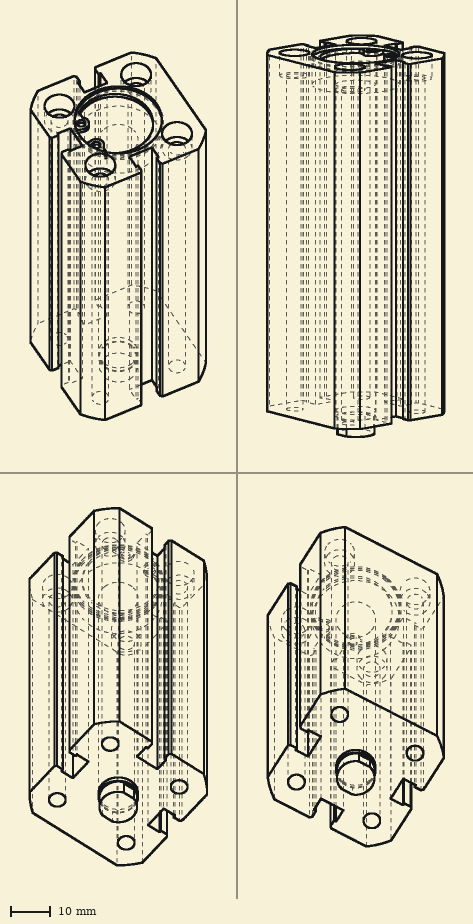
import cadquery as cq
import math

total_length = 98.0
rod_reach = 5.9
housing_length = total_length - rod_reach
housing_width = 36.0
corner_diameter = 44.9

slot_mouth_width = 5.3
slot_mouth_depth = 2.4
slot_channel_width = 6.5
slot_depth = 6.0
slot_edge_chamfer = 0.5

mount_pitch = 22.0
mount_hole_diameter = 4.2
mount_bore_diameter = 7.5
mount_bore_depth = 5.9

cover_diameter = 22.05
cover_thickness = 5.9
ring_depth = 0.9
ring_thickness = 1.1
ring_outer_diameter = 22.9
ring_inner_diameter = 19.4
ring_inner_offset = 1.0
ear_root = 7.3
ear_x = 4.0
ear_y = 8.4
ear_radius = 2.0
ear_hole_diameter = 2.2

rod_diameter = 10.0
rod_shoulder_reach = 1.5
rod_tip_diameter = 9.5
rod_flat_gap = 0.4
rod_across_flats = 8.9

ring_top = housing_length - ring_depth
cover_top = ring_top - ring_thickness
cover_bottom = cover_top - cover_thickness


def cylinder(diameter, bottom, top):
    return cq.Workplane("XY").workplane(offset=bottom).circle(diameter / 2).extrude(top - bottom)


def make_slot():
    """T-shaped slot cutter on the -Y side, with chamfered mouth edges."""
    face = -housing_width / 2
    mouth = slot_mouth_width / 2
    channel = slot_channel_width / 2
    half_outline = [
        (mouth + slot_edge_chamfer, face),
        (mouth, face + slot_edge_chamfer),
        (mouth, face + slot_mouth_depth),
        (channel, face + slot_mouth_depth),
        (channel, face + slot_depth),
    ]
    mirrored = [(-x, y) for x, y in reversed(half_outline)]
    return cq.Workplane("XY").polyline(half_outline + mirrored).close().extrude(housing_length)


def make_housing():
    body = cq.Workplane("XY").rect(housing_width, housing_width).extrude(housing_length)
    body = body.intersect(cylinder(corner_diameter, 0, housing_length))

    slot = make_slot()
    for angle in (-90, 0, 90):
        body = body.cut(slot.rotate((0, 0, 0), (0, 0, 1), angle))

    body = (
        body.faces(">Z").workplane(origin=(0, 0, housing_length))
        .rect(mount_pitch, mount_pitch, forConstruction=True).vertices()
        .cboreHole(mount_hole_diameter, mount_bore_diameter, mount_bore_depth)
    )

    body = body.cut(cylinder(cover_diameter, cover_bottom, housing_length))
    body = body.cut(cylinder(ring_outer_diameter, cover_top, ring_top))
    return body.cut(cylinder(rod_diameter, 0, cover_bottom))


def make_cover():
    return cylinder(cover_diameter, cover_bottom, cover_top)


def make_retaining_ring():
    """Open ring with two drilled ears beside its gap on the -Y side."""
    plane = cq.Workplane("XY").workplane(offset=cover_top)
    outer_radius = ring_outer_diameter / 2

    opening_plane = plane.center(0, -ring_inner_offset)
    opening = opening_plane.circle(ring_inner_diameter / 2).extrude(ring_thickness)
    opening_limit = (
        plane.center(0, -ear_root).rect(ring_outer_diameter, ring_outer_diameter, centered=(True, False))
        .extrude(ring_thickness)
    )
    ring = plane.circle(outer_radius).extrude(ring_thickness).cut(opening.intersect(opening_limit))

    ear_distance = math.hypot(ear_x, ear_y)
    gap_half_angle = math.atan2(ear_x, ear_y) - math.asin(ear_radius / ear_distance)
    tangent_distance = math.sqrt(ear_distance**2 - ear_radius**2)
    gap_x = math.sin(gap_half_angle)
    gap_y = math.cos(gap_half_angle)
    half_gap = [
        (ear_x, 0),
        (ear_x, -ear_y),
        (tangent_distance * gap_x, -tangent_distance * gap_y),
        (ring_outer_diameter * gap_x, -ring_outer_diameter * gap_y),
    ]
    mirrored = [(-x, y) for x, y in reversed(half_gap)]
    ring = ring.cut(plane.polyline(half_gap + mirrored).close().extrude(ring_thickness))

    ear_centers = [(-ear_x, -ear_y), (ear_x, -ear_y)]
    ring = ring.union(plane.pushPoints(ear_centers).circle(ear_radius).extrude(ring_thickness))
    return ring.cut(plane.pushPoints(ear_centers).circle(ear_hole_diameter / 2).extrude(ring_thickness))


def make_rod():
    """Stepped rod whose reduced tip carries two flats facing -Y and +Y."""
    shoulder = -rod_shoulder_reach
    flat_top = shoulder - rod_flat_gap
    flat_length = rod_reach + flat_top
    tip = cylinder(rod_tip_diameter, -rod_reach, shoulder)
    flatted = (
        cq.Workplane("XY").workplane(offset=-rod_reach)
        .rect(rod_tip_diameter, rod_across_flats).extrude(flat_length)
    )
    tip = tip.intersect(flatted.union(cylinder(rod_tip_diameter, flat_top, shoulder)))
    return cylinder(rod_diameter, shoulder, cover_bottom).union(tip)


housing = make_housing()
cover = make_cover()
retaining_ring = make_retaining_ring()
rod = make_rod()

result = cq.Compound.makeCompound([housing.val(), cover.val(), retaining_ring.val(), rod.val()])